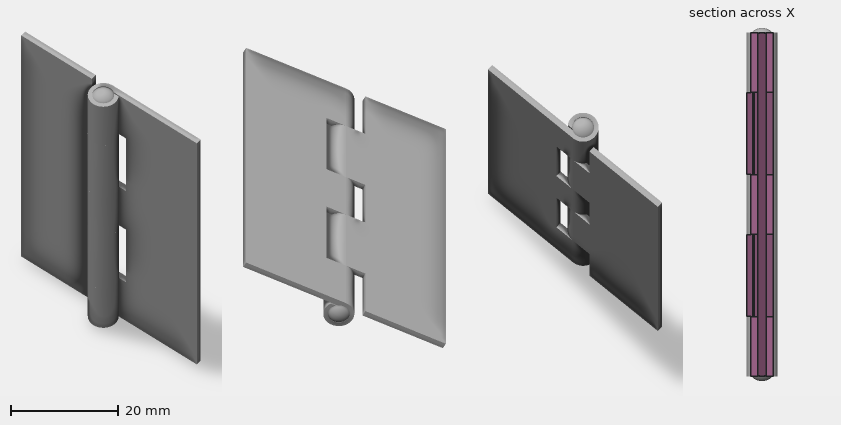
import cadquery as cq

total_height = 65.9
total_width = 42.0
leaf_height = 64.2
leaf_thickness = 1.2

knuckle_radius = 2.9
pin_radius = 2.05
dome_height = 1.0
seam_gap = 0.2
end_knuckle_length = 11.2
knuckle_clearance = 1.2

leaf_reach = total_width / 2
leaf_edge = knuckle_radius + knuckle_clearance
dome_base_z = total_height / 2 - dome_height
left_knuckle_length = (leaf_height - 3 * end_knuckle_length) / 2
right_centers = [i * (end_knuckle_length + left_knuckle_length) for i in (-1, 0, 1)]
left_centers = [i * (end_knuckle_length + left_knuckle_length) / 2 for i in (-1, 1)]


def upright_cylinder(radius, length, center_z=0):
    """Cylinder on the pin axis, centred at the given height."""
    return cq.Workplane("XY", origin=(0, 0, center_z - length / 2)).circle(radius).extrude(length)


def plate(inner_x, outer_x, length, center_z=0):
    """Flat strip whose back face is tangent to the knuckles."""
    return cq.Workplane("XY").box(outer_x - inner_x, leaf_thickness, length).translate(
        ((inner_x + outer_x) / 2, knuckle_radius - leaf_thickness / 2, center_z)
    )


def seam_slit(inner_x, outer_x):
    """Slit along the front face of a leaf, from the outside of the knuckle through to the bore."""
    front_y = knuckle_radius - leaf_thickness
    return cq.Workplane("XY").box(outer_x - inner_x, seam_gap, leaf_height).translate(
        ((inner_x + outer_x) / 2, front_y - seam_gap / 2, 0)
    )


def make_leaf(side, knuckle_length, centers):
    """Leaf on the +X (side = 1) or -X (side = -1) side, with rolled knuckles bored for the pin."""
    inner_x, outer_x = sorted((side * leaf_edge, side * leaf_reach))
    leaf = plate(inner_x, outer_x, leaf_height)
    tab_inner_x, tab_outer_x = sorted((0, side * leaf_edge))
    for center_z in centers:
        leaf = leaf.union(plate(tab_inner_x, tab_outer_x, knuckle_length, center_z))
        leaf = leaf.union(upright_cylinder(knuckle_radius, knuckle_length, center_z))
    leaf = leaf.cut(upright_cylinder(pin_radius, leaf_height))
    return leaf.cut(seam_slit(tab_inner_x, tab_outer_x))


def make_pin():
    """Pin with a spherical dome standing out at each end."""
    dome_radius = (pin_radius**2 + dome_height**2) / (2 * dome_height)
    dome_mid_x = pin_radius / 2
    center_z = total_height / 2 - dome_radius
    dome_mid_z = center_z + (dome_radius**2 - dome_mid_x**2) ** 0.5
    profile = (
        cq.Workplane("XZ")
        .moveTo(0, -total_height / 2)
        .threePointArc((dome_mid_x, -dome_mid_z), (pin_radius, -dome_base_z))
        .lineTo(pin_radius, dome_base_z)
        .threePointArc((dome_mid_x, dome_mid_z), (0, total_height / 2))
        .close()
    )
    return profile.revolve(360, (0, 0, 0), (0, 1, 0))


right_leaf = make_leaf(1, end_knuckle_length, right_centers)
left_leaf = make_leaf(-1, left_knuckle_length, left_centers)
pin = make_pin()

result = cq.Compound.makeCompound([right_leaf.val(), left_leaf.val(), pin.val()])